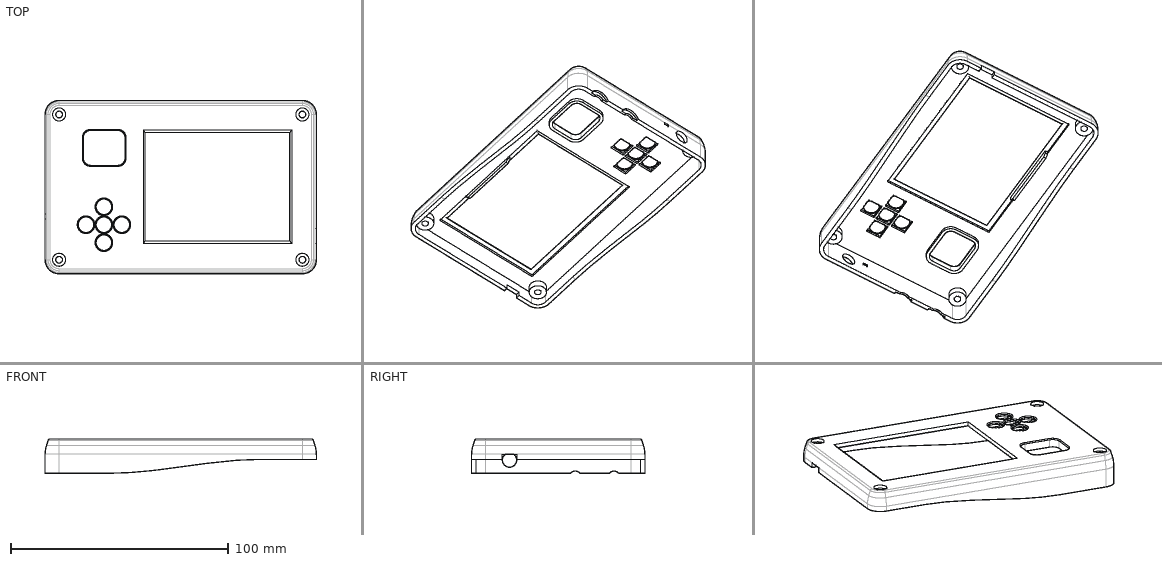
import cadquery as cq
import math

LENGTH = 124.9
WIDTH = 79.8
HEIGHT = 15.9
CORNER_R = 6.5
WALL = 2.0
PLATE = 2.5
SKIN = 1.2

TAPER_ANGLE = 18.0
TAPER_START = 10.9
BEND_R = 13.0
BEND_TOLERANCE = 0.1
TOP_ROUND_R = 1.0

RISE_START = 30.0
RISE_END = 98.7
RISE = 6.4

SCREW_D = 3.0
SCREW_HEAD_D = 6.0
SCREW_HEAD_DEPTH = 1.5
POST_D = 8.0
POST_BOTTOM = 10.0

DISPLAY_LEFT = 45.2
DISPLAY_BOTTOM = 14.0
DISPLAY_LENGTH = 68.5
DISPLAY_WIDTH = 52.2
BEVEL_LEFT = 0.9
BEVEL_RIGHT = 1.1
BEVEL_Y = 1.2
POCKET_MARGIN = 1.2

RIB_LEFT = 65.2
RIB_LENGTH = 30.6
RIB_THICKNESS = 1.2
RIB_BOTTOM = 11.4
RIB_END_CHAMFER = 1.5

OPENING_CENTER = (27.2, 58.0)
OPENING_LENGTH = 19.1
OPENING_WIDTH = 16.0
OPENING_R = 3.2
OPENING_DEPTH = 4.1
COLLAR_WALL = 1.5
EDGE_CHAMFER = 0.5
FLARE_TAPER = -45

BUTTON_CENTER = (27.1, 22.6)
BUTTON_PITCH = 8.2
BUTTON_D = 7.1

JACK_Y = 17.5
JACK_Z = 6.1
JACK_D = 6.5
NOTCH_WIDTH = 7.0
NOTCH_TOP = 8.7
SLOT_Y = 26.5
SLOT_Z = 8.2
SLOT_WIDTH = 2.2
SLOT_HEIGHT = 1.1
KNOB_YS = (47.7, 65.6)
KNOB_Z = -1.9
KNOB_D = 5.7
KNOB_RECESS_D = 9.7
KNOB_RECESS_DEPTH = 1.0

LEFT_X = -LENGTH / 2
FRONT_Y = -WIDTH / 2
CEILING = HEIGHT - PLATE


def place(x, y):
    """Centred coordinates of a point measured from the -X and -Y sides."""
    return (LEFT_X + x, FRONT_Y + y)


def block(length, width, bottom, top, center=(0, 0)):
    return cq.Workplane("XY", origin=(*center, bottom)).rect(length, width).extrude(top - bottom)


def rod(diameter, bottom, top, center):
    return cq.Workplane("XY", origin=(*center, bottom)).circle(diameter / 2).extrude(top - bottom)


def end_rod(diameter, depth, y, z):
    """Cylinder running in +X from the -X face."""
    return cq.Workplane("YZ", origin=(LEFT_X, FRONT_Y + y, z)).circle(diameter / 2).extrude(depth)


def outer_body():
    drop = HEIGHT - TAPER_START
    inset = drop * math.tan(math.radians(TAPER_ANGLE))
    body = block(LENGTH, WIDTH, 0, HEIGHT).edges("|Z").fillet(CORNER_R)
    body = body.faces(">Z").chamfer(drop, inset)
    bend_level = cq.selectors.BoxSelector(
        (-LENGTH, -WIDTH, TAPER_START - BEND_TOLERANCE), (LENGTH, WIDTH, TAPER_START + BEND_TOLERANCE)
    )
    body = body.edges(bend_level).fillet(BEND_R)
    return body.faces(">Z").edges().fillet(TOP_ROUND_R)


def below_rise():
    """Everything under the S-curved rim."""
    start = LEFT_X + RISE_START
    end = LEFT_X + RISE_END
    third = (end - start) / 3
    curve = [(start, 0), (start + third, 0), (end - third, RISE), (end, RISE)]
    return (
        cq.Workplane("XZ", origin=(0, WIDTH, 0))
        .moveTo(start, 0)
        .bezier(curve)
        .lineTo(LENGTH, RISE)
        .lineTo(LENGTH, -RISE)
        .lineTo(start, -RISE)
        .close()
        .extrude(2 * WIDTH)
    )


def shell():
    cavity = block(LENGTH - 2 * WALL, WIDTH - 2 * WALL, 0, CEILING)
    return outer_body().cut(cavity.edges("|Z").fillet(CORNER_R - WALL))


def add_screw_corners(part):
    corners = [
        (sx * (LENGTH / 2 - CORNER_R), sy * (WIDTH / 2 - CORNER_R)) for sx in (-1, 1) for sy in (-1, 1)
    ]
    for corner in corners:
        part = part.union(rod(POST_D, POST_BOTTOM, CEILING, corner))
        part = part.cut(rod(SCREW_D, 0, HEIGHT, corner))
        part = part.cut(rod(SCREW_HEAD_D, HEIGHT - SCREW_HEAD_DEPTH, HEIGHT, corner))
    return part


def cut_display(part):
    """Bevelled window through a thin skin, with a larger pocket underneath."""
    center = place(DISPLAY_LEFT + DISPLAY_LENGTH / 2, DISPLAY_BOTTOM + DISPLAY_WIDTH / 2)
    bevel_shift = (BEVEL_LEFT - BEVEL_RIGHT) / 2
    window = (
        cq.Workplane("XY", origin=(*center, HEIGHT))
        .rect(DISPLAY_LENGTH, DISPLAY_WIDTH)
        .workplane(offset=-SKIN)
        .center(bevel_shift, 0)
        .rect(DISPLAY_LENGTH - BEVEL_LEFT - BEVEL_RIGHT, DISPLAY_WIDTH - 2 * BEVEL_Y)
        .loft(ruled=True)
    )
    pocket = block(
        DISPLAY_LENGTH + 2 * POCKET_MARGIN,
        DISPLAY_WIDTH + 2 * POCKET_MARGIN,
        CEILING,
        HEIGHT - SKIN,
        center,
    )
    return part.cut(window).cut(pocket)


def display_rib():
    center = place(
        RIB_LEFT + RIB_LENGTH / 2,
        DISPLAY_BOTTOM + DISPLAY_WIDTH + RIB_THICKNESS / 2,
    )
    rib = block(RIB_LENGTH, RIB_THICKNESS, RIB_BOTTOM, HEIGHT - SKIN, center)
    return rib.faces("<Z").edges("|Y").chamfer(RIB_END_CHAMFER)


def add_rounded_opening(part):
    center = place(*OPENING_CENTER)
    bottom = HEIGHT - OPENING_DEPTH
    collar = block(
        OPENING_LENGTH + 2 * COLLAR_WALL, OPENING_WIDTH + 2 * COLLAR_WALL, bottom, CEILING, center
    )
    collar = collar.edges("|Z").fillet(OPENING_R + COLLAR_WALL)
    outline = cq.Sketch().rect(OPENING_LENGTH, OPENING_WIDTH).vertices().fillet(OPENING_R)
    opening = cq.Workplane("XY", origin=(*center, bottom)).placeSketch(outline).extrude(OPENING_DEPTH)
    flare = (
        cq.Workplane("XY", origin=(*center, HEIGHT - EDGE_CHAMFER))
        .placeSketch(outline)
        .extrude(EDGE_CHAMFER, taper=FLARE_TAPER)
    )
    return part.union(collar).cut(opening).cut(flare)


def cut_buttons(part):
    """Chamfered round holes through the skin, opening into square pockets below."""
    for column, row in [(0, 0), (1, 0), (-1, 0), (0, 1), (0, -1)]:
        center = place(BUTTON_CENTER[0] + column * BUTTON_PITCH, BUTTON_CENTER[1] + row * BUTTON_PITCH)
        flare = (
            cq.Workplane("XY", origin=(*center, HEIGHT - EDGE_CHAMFER))
            .circle(BUTTON_D / 2)
            .extrude(EDGE_CHAMFER, taper=FLARE_TAPER)
        )
        part = part.cut(rod(BUTTON_D, CEILING, HEIGHT, center)).cut(flare)
        part = part.cut(block(BUTTON_D, BUTTON_D, CEILING, HEIGHT - SKIN, center))
    return part


def cut_end_walls(part):
    part = part.cut(end_rod(JACK_D, WALL, JACK_Y, JACK_Z))
    slot_bottom = SLOT_Z - SLOT_HEIGHT / 2
    slot = block(WALL, SLOT_WIDTH, slot_bottom, slot_bottom + SLOT_HEIGHT, place(WALL / 2, SLOT_Y))
    notch = block(WALL, NOTCH_WIDTH, 0, NOTCH_TOP, place(LENGTH - WALL / 2, JACK_Y))
    part = part.cut(slot).cut(notch)
    for y in KNOB_YS:
        part = part.cut(end_rod(KNOB_D, WALL, y, KNOB_Z))
        part = part.cut(end_rod(KNOB_RECESS_D, KNOB_RECESS_DEPTH, y, KNOB_Z))
    return part


part = add_screw_corners(shell())
part = cut_display(part).union(display_rib())
part = add_rounded_opening(part)
part = cut_buttons(part)
part = cut_end_walls(part)
result = part.cut(below_rise())